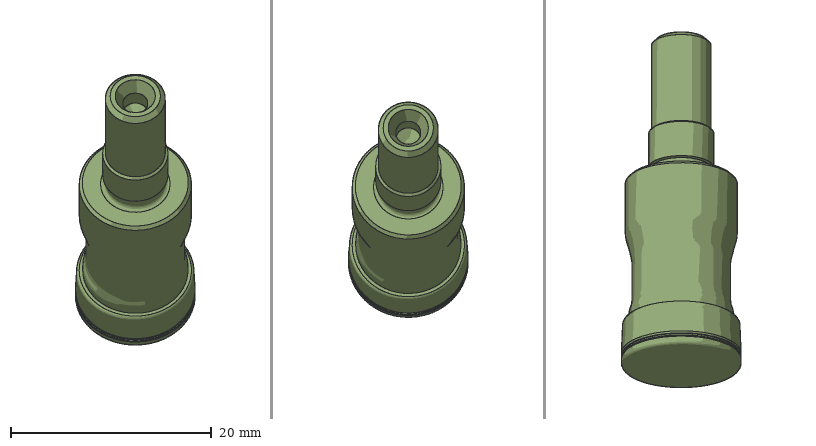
import cadquery as cq
import math

TOTAL_HEIGHT = 35.0

PIN_RADIUS = 6.0 / 2
PIN_CHAMFER = 0.5
COLLAR_RADIUS = 6.5 / 2
COLLAR_TOP = 25.27
COLLAR_BOTTOM = 21.4
COLLAR_TOP_CHAMFER = 0.2
COLLAR_BOTTOM_CHAMFER = 0.1
PIN_ROOT_RISE = 0.42
PIN_ROOT_FILLET = 0.5

HOLE_RADIUS = 2.5 / 2
COUNTERSINK_RADIUS = 2.0
COUNTERSINK_DEPTH = 1.25
HOLE_DEPTH = 2.98
DRILL_HALF_ANGLE = math.radians(60)

SHOULDER_RADIUS = 11.2 / 2
SHOULDER_TOP = 20.0
SHOULDER_CHAMFER = 0.3
SHOULDER_BOTTOM = 14.42
DISH_RADIUS = 4.2
DISH_FLOOR_RADIUS = 3.45
DISH_DEPTH = 0.2

WAIST_RADIUS = 9.87 / 2
WAIST_TOP = 11.13
WAIST_BOTTOM = 7.1
BLEND_RADIUS = 2.8
SEAT_BLEND_RADIUS = 2.1
CONE_ANGLE = math.radians(15)
SEAT_RADIUS = 5.25
SEAT_TOP = 5.42

FOOT_RADIUS = 6.0
FOOT_TOP = 1.1
FOOT_FILLET = 0.45
SLEEVE_TOP = 4.8
SLEEVE_RIM_RADIUS = 5.6
SLEEVE_UPPER_RADIUS = 5.88
SLEEVE_RIM_DROP = 0.42
SLEEVE_TAPER_TOP = 4.05
SLEEVE_TAPER_BOTTOM = 1.45
SEAM_FLOOR_RADIUS = 5.78
SEAM_WIDTH = 0.3
SEAM_LAND = 0.07


def blend_step(radius):
    """Radial and axial extent of an arc turning through the cone angle."""
    return radius * (1 - math.cos(CONE_ANGLE)), radius * math.sin(CONE_ANGLE)


def revolve(profile):
    return profile.close().revolve(360, (0, 0, 0), (0, 1, 0))


def make_centre_hole():
    hole_bottom = TOTAL_HEIGHT - HOLE_DEPTH
    drill_tip = hole_bottom - HOLE_RADIUS / math.tan(DRILL_HALF_ANGLE)
    return revolve(
        cq.Workplane("XZ")
        .moveTo(0, drill_tip)
        .lineTo(HOLE_RADIUS, hole_bottom)
        .lineTo(HOLE_RADIUS, TOTAL_HEIGHT - COUNTERSINK_DEPTH)
        .lineTo(COUNTERSINK_RADIUS, TOTAL_HEIGHT)
        .lineTo(0, TOTAL_HEIGHT)
    )


def make_plunger():
    blend_r, blend_z = blend_step(BLEND_RADIUS)
    seat_r, seat_z = blend_step(SEAT_BLEND_RADIUS)
    dish_floor = SHOULDER_TOP - DISH_DEPTH
    seam_bottom = FOOT_TOP - SEAM_WIDTH / 2

    profile = (
        cq.Workplane("XZ")
        .moveTo(0, 0)
        .lineTo(FOOT_RADIUS - FOOT_FILLET, 0)
        .radiusArc((FOOT_RADIUS, FOOT_FILLET), -FOOT_FILLET)
        .lineTo(FOOT_RADIUS, seam_bottom - SEAM_LAND)
        .lineTo(FOOT_RADIUS - SEAM_LAND, seam_bottom)
        .lineTo(SEAM_FLOOR_RADIUS, seam_bottom)
        .lineTo(SEAM_FLOOR_RADIUS, FOOT_TOP)
        .lineTo(SEAT_RADIUS, FOOT_TOP)
        .lineTo(SEAT_RADIUS, SEAT_TOP)
        .radiusArc((SEAT_RADIUS - seat_r, SEAT_TOP + seat_z), -SEAT_BLEND_RADIUS)
        .lineTo(WAIST_RADIUS + blend_r, WAIST_BOTTOM - blend_z)
        .radiusArc((WAIST_RADIUS, WAIST_BOTTOM), BLEND_RADIUS)
        .lineTo(WAIST_RADIUS, WAIST_TOP)
        .radiusArc((WAIST_RADIUS + blend_r, WAIST_TOP + blend_z), BLEND_RADIUS)
        .lineTo(SHOULDER_RADIUS - blend_r, SHOULDER_BOTTOM - blend_z)
        .radiusArc((SHOULDER_RADIUS, SHOULDER_BOTTOM), -BLEND_RADIUS)
        .lineTo(SHOULDER_RADIUS, SHOULDER_TOP - SHOULDER_CHAMFER)
        .lineTo(SHOULDER_RADIUS - SHOULDER_CHAMFER, SHOULDER_TOP)
        .lineTo(DISH_RADIUS, SHOULDER_TOP)
        .lineTo(DISH_FLOOR_RADIUS, dish_floor)
        .radiusArc((PIN_RADIUS, dish_floor + PIN_ROOT_RISE), PIN_ROOT_FILLET)
        .lineTo(PIN_RADIUS, COLLAR_BOTTOM - COLLAR_BOTTOM_CHAMFER)
        .lineTo(COLLAR_RADIUS, COLLAR_BOTTOM)
        .lineTo(COLLAR_RADIUS, COLLAR_TOP - COLLAR_TOP_CHAMFER)
        .lineTo(PIN_RADIUS, COLLAR_TOP)
        .lineTo(PIN_RADIUS, TOTAL_HEIGHT - PIN_CHAMFER)
        .lineTo(PIN_RADIUS - PIN_CHAMFER, TOTAL_HEIGHT)
        .lineTo(0, TOTAL_HEIGHT)
    )
    return revolve(profile).cut(make_centre_hole())


def make_sleeve():
    seam_top = FOOT_TOP + SEAM_WIDTH / 2
    rim_bottom = SLEEVE_TOP - SLEEVE_RIM_DROP
    rim_inset = SLEEVE_UPPER_RADIUS - SLEEVE_RIM_RADIUS
    rim_arc_radius = (SLEEVE_RIM_DROP**2 + rim_inset**2) / (2 * rim_inset)
    return revolve(
        cq.Workplane("XZ")
        .moveTo(SEAT_RADIUS, FOOT_TOP)
        .lineTo(SEAM_FLOOR_RADIUS, FOOT_TOP)
        .lineTo(SEAM_FLOOR_RADIUS, seam_top)
        .lineTo(FOOT_RADIUS - SEAM_LAND, seam_top)
        .lineTo(FOOT_RADIUS, SLEEVE_TAPER_BOTTOM)
        .lineTo(SLEEVE_UPPER_RADIUS, SLEEVE_TAPER_TOP)
        .lineTo(SLEEVE_UPPER_RADIUS, rim_bottom)
        .radiusArc((SLEEVE_RIM_RADIUS, SLEEVE_TOP), -rim_arc_radius)
        .lineTo(SEAT_RADIUS, SLEEVE_TOP)
    )


plunger = make_plunger()
sleeve = make_sleeve()
result = cq.Compound.makeCompound([plunger.val(), sleeve.val()])